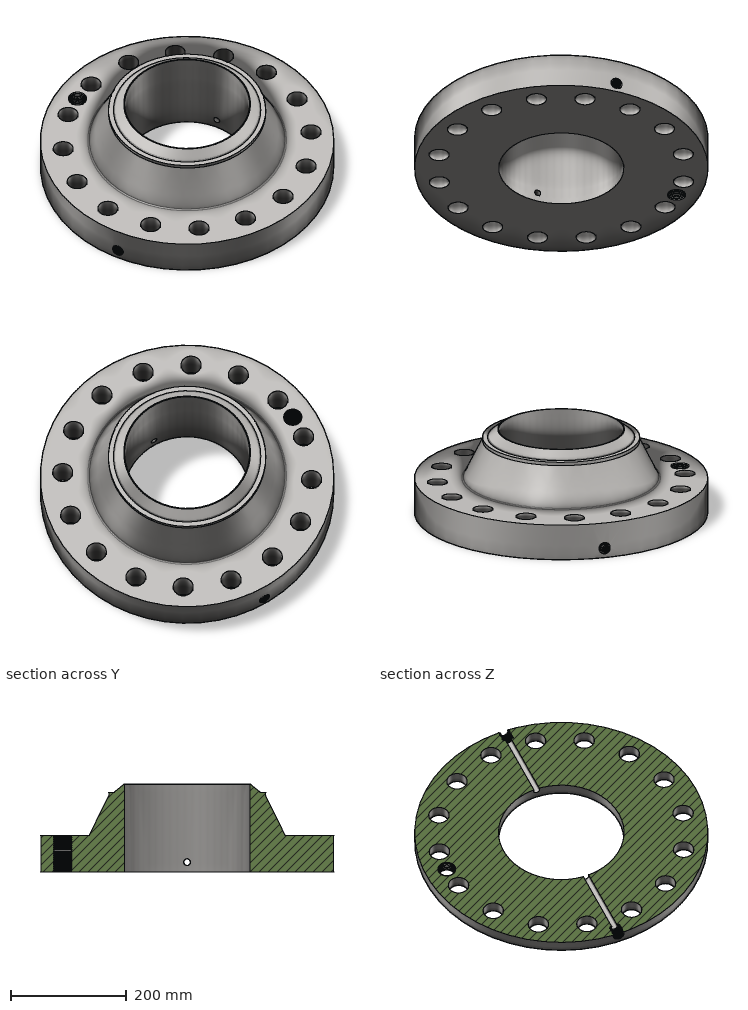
import cadquery as cq
import math

flange_radius = 254.0
flange_thickness = 63.5

total_height = 152.5
hub_base_radius = 170.0
hub_base_fillet = 3.0
neck_radius = 136.0
neck_bottom = 132.0
neck_top = 138.0
bevel_root_radius = 127.5
bevel_root_height = 1.0
bevel_toe_radius = 126.0
land_outer_radius = 109.5
bore_radius = 108.0

bolt_circle_radius = 215.5
bolt_count = 16
bolt_hole_radius = 17.5

jack_major_radius = 16.0
jack_minor_radius = 14.0
jack_pitch = 3.5

tap_height = 17.5
tap_major_radius = 10.0
tap_minor_radius = 7.5
tap_pitch = 2.0
tap_thread_depth = 20.5
tap_drill_radius = 5.5


def make_body():
    """Revolve the flange, hub and weld end around Z, with the bore open."""
    bevel_start = neck_top + bevel_root_height

    cone_run = hub_base_radius - neck_radius
    cone_rise = neck_bottom - flange_thickness
    slope = math.atan2(cone_rise, cone_run)
    half_slope = slope / 2
    tangent_length = hub_base_fillet * math.tan(half_slope)
    fillet_outer_radius = hub_base_radius + tangent_length
    fillet_center_height = flange_thickness + hub_base_fillet
    fillet_middle = (
        fillet_outer_radius - hub_base_fillet * math.sin(half_slope),
        fillet_center_height - hub_base_fillet * math.cos(half_slope),
    )
    fillet_end = (
        fillet_outer_radius - hub_base_fillet * math.sin(slope),
        fillet_center_height - hub_base_fillet * math.cos(slope),
    )

    return (
        cq.Workplane("XZ")
        .moveTo(bore_radius, 0)
        .lineTo(flange_radius, 0)
        .lineTo(flange_radius, flange_thickness)
        .lineTo(fillet_outer_radius, flange_thickness)
        .threePointArc(fillet_middle, fillet_end)
        .lineTo(neck_radius, neck_bottom)
        .lineTo(neck_radius, neck_top)
        .lineTo(bevel_root_radius, neck_top)
        .lineTo(bevel_toe_radius, bevel_start)
        .lineTo(land_outer_radius, total_height)
        .lineTo(bore_radius, total_height)
        .close()
        .revolve(360, (0, 0, 0), (0, 1, 0))
    )


def make_thread_cutter(major_radius, minor_radius, pitch, length):
    """Solid along +Z from the origin with equally spaced V-shaped thread rings."""
    ring_count = round(length / pitch)
    step = length / ring_count
    outline = cq.Workplane("XZ").moveTo(0, 0).lineTo(major_radius, 0)
    for ring in range(ring_count):
        outline = outline.lineTo(minor_radius, (ring + 0.5) * step)
        outline = outline.lineTo(major_radius, (ring + 1) * step)
    return outline.lineTo(0, length).close().revolve(360, (0, 0, 0), (0, 1, 0))


def make_bolt_holes():
    """Bolt holes straddling the X and Y axes."""
    half_spacing = 180 / bolt_count
    return (
        cq.Workplane("XY")
        .polarArray(bolt_circle_radius, half_spacing, 360, bolt_count)
        .circle(bolt_hole_radius)
        .extrude(flange_thickness)
    )


def make_jack_hole():
    """Threaded hole through the flange, midway between two bolt holes."""
    cutter = make_thread_cutter(jack_major_radius, jack_minor_radius, jack_pitch, flange_thickness)
    return cutter.translate((-bolt_circle_radius, 0, 0))


def make_pressure_tap():
    """Radial tap from the -Y rim: threaded mouth, then a drilled hole into the bore."""
    thread = make_thread_cutter(tap_major_radius, tap_minor_radius, tap_pitch, tap_thread_depth)
    drill = cq.Workplane("XY").circle(tap_drill_radius).extrude(flange_radius)
    return (
        thread.union(drill)
        .rotate((0, 0, 0), (1, 0, 0), -90)
        .translate((0, -flange_radius, tap_height))
    )


body = make_body().cut(make_bolt_holes()).cut(make_jack_hole())

pressure_tap = make_pressure_tap()
for tap_angle in (0, 180):
    body = body.cut(pressure_tap.rotate((0, 0, 0), (0, 0, 1), tap_angle))

result = body